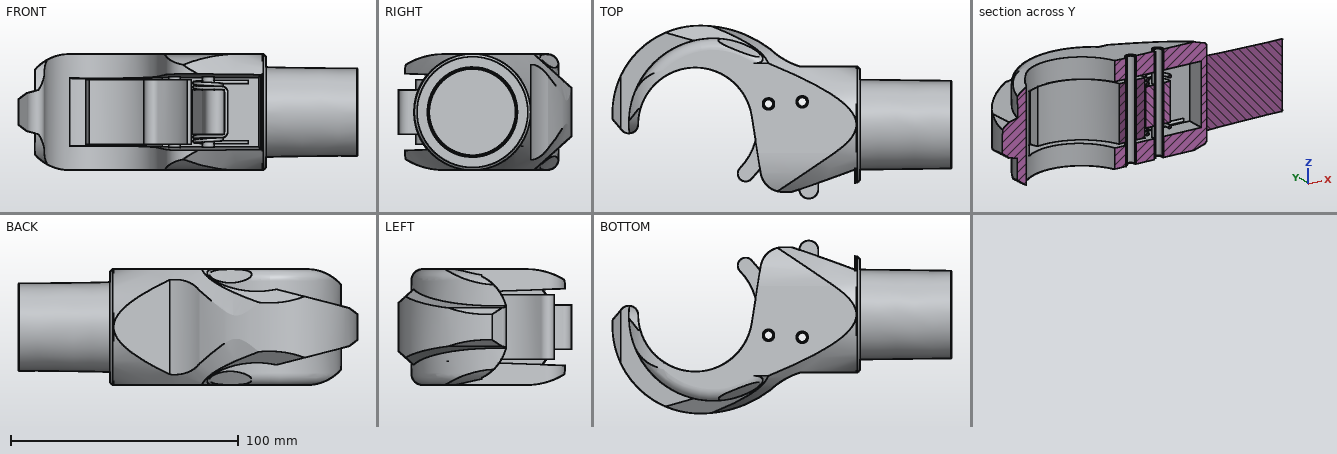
import cadquery as cq
import math


half_width = 25.51
clamp_radius = 25.0
mouth_angle = 8.0
chin_centre = (38.5, -19.6)
chin_radius = 10.0
hook_crown = (2.1, 43.5)
hook_radius = 38.5
hook_tip_angle = 184.0
hook_tip_corner = (-32.6, -2.0)
hook_tip_end = (-29.0, -3.9)
back_radius = 51.0
back_angle = 72.0
shoulder_start = (33.0, 33.1)
shoulder_middle = (39.0, 28.6)
shoulder_end = (46.0, half_width)
cone_start = 70.6
cone_slope = 0.3
housing_end = 72.3
end_chamfer = 1.2
plate_round_start = -12.5
plate_round_radius = 32.0

rib_crown_half = 10.6
rib_chamfer_slope = 0.9
rib_tip_half = 8.4
rib_tip_x = -32.7
rib_flare = 0.256
rib_tip_slope = 0.76

cheek_tip = (-28.6, -6.0)
cheek_flank = (-22.3, 22.2)
cheek_top = (2.0, 37.4)
cheek_neck = (31.0, 29.4)
cheek_shoulder = (37.5, 26.6)
cheek_end = (44.0, half_width)
cheek_fillet = 5.1
tip_round_radius = 20.0
tip_round_x = -14.0
tip_corner_start = (7.0, 22.3)
tip_corner_middle = (0.5, 17.3)
tip_corner_end = (-4.0, 8.0)

slot_left = -13.8
slot_right = 70.0
slot_roof = 17.5
slot_roof_radius = 32.0
slot_roof_angle = 70.0
slot_end_lean = 1.0
slot_half = 15.75
slot_draft = 2.0

spigot_end = 112.46
spigot_root_radius = 19.8
spigot_tip_radius = 19.3
spigot_chamfer = 0.4

jaw_pivot = (32.1, 9.1)
trigger_pivot = (46.9, 10.0)
pin_radius = 2.6
pin_bore_radius = 1.95
pin_length = 50.0

jaw_half = 14.2
jaw_inner_radius = 27.3
jaw_arm_thickness = 4.0
jaw_finger_thickness = 7.0
jaw_end_angle = 101.2
jaw_back_end_angle = 102.5
jaw_back_angle = 68.5
jaw_finger_angle = -44.2
lug_back = 37.6
lug_edge = 39.5
lug_ledge = 3.0
lug_top = 15.0

trigger_half = 9.75
trigger_hub_radius = 6.0
trigger_nose = 39.8
trigger_knee = (44.1, -12.0)
trigger_tip_radius = 4.2
trigger_tip = (49.8, -28.28)

wire_radius = 0.75
coil_radius = 5.95
coil_pitch = 1.85
coil_inner_z = 10.6
coil_leg_angle = 90.0
coil_exit_angle = 240.0
leg_end = 64.4
crossbar_x = 54.8
crossbar_bend = 2.3

LONG = 400.0


def polar(radius, angle, centre=(0.0, 0.0)):
    turn = math.radians(angle)
    return (centre[0] + radius * math.cos(turn), centre[1] + radius * math.sin(turn))


def both_ways(outline, half):
    return outline.extrude(half, both=True)


def disc(centre, radius, half):
    return both_ways(cq.Workplane("XY").center(*centre).circle(radius), half)


def draw_belly(outline):
    """Continue from the housing's upper right corner round the plates to the start of the clamp circle."""
    chin_bottom = chin_centre[1] - chin_radius
    return (
        outline.lineTo(housing_end, chin_bottom)
        .lineTo(chin_centre[0], chin_bottom)
        .threePointArc(polar(chin_radius, 225 - mouth_angle / 2, chin_centre),
                       polar(chin_radius, 180 + mouth_angle, chin_centre))
        .lineTo(*polar(clamp_radius, mouth_angle))
    )


def make_rib_body():
    """The full side outline of hook and housing."""
    hook_centre = (hook_crown[0], hook_crown[1] - hook_radius)
    back_centre = (hook_crown[0], hook_crown[1] - back_radius)
    outline = (
        cq.Workplane("XY")
        .moveTo(-clamp_radius, 0)
        .threePointArc(hook_tip_end, hook_tip_corner)
        .lineTo(*polar(hook_radius, hook_tip_angle, hook_centre))
        .threePointArc(polar(hook_radius, 135, hook_centre), hook_crown)
        .threePointArc(polar(back_radius, back_angle, back_centre), shoulder_start)
        .threePointArc(shoulder_middle, shoulder_end)
        .lineTo(housing_end, half_width)
    )
    outline = draw_belly(outline).threePointArc((0, clamp_radius), (-clamp_radius, 0)).close()
    return both_ways(outline, half_width)


def make_rib_envelope():
    """Chamfers along the crown, and the taper of the rib towards the tip."""
    drop = (half_width - rib_crown_half) / rib_chamfer_slope
    crown = hook_crown[1]
    across = (
        cq.Workplane("YZ")
        .polyline([
            (-LONG, -half_width), (crown - drop, -half_width), (crown, -rib_crown_half),
            (crown, rib_crown_half), (crown - drop, half_width), (-LONG, half_width),
        ])
        .close()
    )
    flare_end = hook_crown[0]
    flare_half = rib_tip_half + rib_flare * (flare_end - rib_tip_x)
    tip_length = rib_tip_half / rib_tip_slope
    upper = [
        (rib_tip_x - tip_length, 0), (rib_tip_x, rib_tip_half), (flare_end, flare_half),
        (flare_end, half_width), (LONG, half_width),
    ]
    lower = [(x, -z) for x, z in reversed(upper[1:])]
    along = cq.Workplane("XZ").polyline(upper + lower).close()
    return both_ways(across, LONG).intersect(both_ways(along, LONG))


def make_cheeks():
    """The side faces of hook and housing, full width, rounded along the hook and at its tip."""
    outline = (
        cq.Workplane("XY")
        .moveTo(*cheek_tip)
        .threePointArc(cheek_flank, cheek_top)
        .tangentArcPoint(cheek_neck, relative=False)
        .threePointArc(cheek_shoulder, cheek_end)
        .lineTo(housing_end, half_width)
    )
    outline = (
        draw_belly(outline)
        .threePointArc((0, clamp_radius), (-clamp_radius, 0))
        .lineTo(-clamp_radius, cheek_tip[1])
        .close()
    )
    cheek = outline.extrude(half_width)
    rims = cheek.faces(">Z").edges("%CIRCLE").vals()
    back_rims = [rim for rim in rims if rim.radius() > clamp_radius + 1]
    cheek = cheek.newObject(back_rims).fillet(cheek_fillet)
    cheeks = cheek.union(cheek.mirror("XY"))
    rounded_tip = (
        cq.Workplane("XY")
        .box(LONG, LONG, 2 * half_width)
        .translate((tip_round_x - tip_round_radius + LONG / 2, 0, 0))
        .edges("|Y and <X")
        .fillet(tip_round_radius)
    )
    tip_corner = (
        cq.Workplane("YZ")
        .moveTo(*tip_corner_start)
        .threePointArc(tip_corner_middle, tip_corner_end)
        .lineTo(-LONG, tip_corner_end[1])
        .lineTo(-LONG, LONG)
        .lineTo(tip_corner_start[0], LONG)
        .close()
        .extrude(-LONG)
    )
    return cheeks.intersect(rounded_tip).cut(tip_corner).cut(tip_corner.mirror("XY"))


def make_plate_envelope():
    """Thins the plates below the spigot axis with a large arc."""
    low = chin_centre[1] - chin_radius

    def arc_z(y):
        sag = math.sqrt(plate_round_radius ** 2 - (y - plate_round_start) ** 2)
        return half_width - plate_round_radius + sag

    middle = (plate_round_start + low) / 2
    outline = (
        cq.Workplane("YZ")
        .moveTo(LONG, half_width)
        .lineTo(plate_round_start, half_width)
        .threePointArc((middle, arc_z(middle)), (low, arc_z(low)))
        .lineTo(low, -arc_z(low))
        .threePointArc((middle, -arc_z(middle)), (plate_round_start, -half_width))
        .lineTo(LONG, -half_width)
        .close()
    )
    return both_ways(outline, LONG)


def make_cone_envelope():
    """Cone about the spigot axis ending in a chamfered cylinder."""
    return (
        cq.Workplane("XY")
        .polyline([
            (-LONG, 0), (-LONG, half_width + cone_slope * (cone_start + LONG)),
            (cone_start, half_width), (housing_end - end_chamfer, half_width),
            (housing_end, half_width - end_chamfer), (housing_end, 0),
        ])
        .close()
        .revolve(360, (0, 0, 0), (1, 0, 0))
    )


def make_slot():
    """Slot for jaw, trigger and spring: side outline limited by drafted side walls."""
    left_top = math.sqrt(slot_roof_radius ** 2 - slot_left ** 2)
    roof_start = math.sqrt(slot_roof_radius ** 2 - slot_roof ** 2)
    outline = (
        cq.Workplane("XY")
        .moveTo(slot_left, 0)
        .lineTo(slot_left, left_top)
        .threePointArc(polar(slot_roof_radius, slot_roof_angle), (roof_start, slot_roof))
        .lineTo(slot_right - slot_end_lean, slot_roof)
        .lineTo(slot_right, -half_width)
        .lineTo(slot_right, -2 * half_width)
        .lineTo(slot_left, -2 * half_width)
        .close()
    )
    reach = 2 * half_width
    change = reach * math.tan(math.radians(slot_draft))
    walls = (
        cq.Workplane("YZ")
        .polyline([
            (-reach, -slot_half - change), (reach, -slot_half + change),
            (reach, slot_half - change), (-reach, slot_half + change),
        ])
        .close()
    )
    return both_ways(outline, half_width).intersect(both_ways(walls, LONG))


def make_housing():
    rib_body = make_rib_body()
    body = rib_body.intersect(make_rib_envelope()).union(make_cheeks().intersect(rib_body))
    body = body.intersect(make_plate_envelope()).intersect(make_cone_envelope())
    body = body.cut(make_slot())
    for pivot in (jaw_pivot, trigger_pivot):
        body = body.cut(disc(pivot, pin_radius, half_width))
    return body


def make_spigot():
    return (
        cq.Workplane("XY")
        .polyline([
            (housing_end, 0), (housing_end, spigot_root_radius),
            (spigot_end - spigot_chamfer, spigot_tip_radius),
            (spigot_end, spigot_tip_radius - spigot_chamfer), (spigot_end, 0),
        ])
        .close()
        .revolve(360, (0, 0, 0), (1, 0, 0))
    )


def make_pin(pivot):
    """Hollow pin across the housing."""
    return both_ways(
        cq.Workplane("XY").center(*pivot).circle(pin_radius).circle(pin_bore_radius), pin_length / 2)


def make_jaw():
    """Curved jaw with a round-ended finger below and a lug round its pivot pin."""
    middle_angle = (jaw_end_angle + jaw_finger_angle) / 2
    arm_radius = jaw_inner_radius + jaw_arm_thickness
    finger_half = jaw_finger_thickness / 2
    finger_end = polar(jaw_inner_radius + finger_half, jaw_finger_angle)
    outline = (
        cq.Workplane("XY")
        .moveTo(*polar(jaw_inner_radius, jaw_end_angle))
        .threePointArc(polar(jaw_inner_radius, middle_angle), polar(jaw_inner_radius, jaw_finger_angle))
        .threePointArc(polar(finger_half, jaw_finger_angle - 90, finger_end),
                       polar(finger_half, jaw_finger_angle, finger_end))
        .tangentArcPoint((lug_back, lug_ledge), relative=False)
        .lineTo(lug_edge, lug_ledge)
        .lineTo(lug_edge, lug_top)
        .lineTo(math.sqrt(arm_radius ** 2 - lug_top ** 2), lug_top)
        .threePointArc(polar(arm_radius, jaw_back_angle), polar(arm_radius, jaw_back_end_angle))
        .close()
    )
    return both_ways(outline, jaw_half).cut(disc(jaw_pivot, pin_radius, jaw_half))


def make_trigger():
    """Lever hanging from its pin, with a flat nose against the jaw and a round tip."""
    tip_x, tip_y = trigger_tip
    pin_x, pin_y = trigger_pivot
    lever = (
        cq.Workplane("XY")
        .moveTo(trigger_nose, pin_y)
        .lineTo(trigger_nose, lug_ledge)
        .lineTo(*trigger_knee)
        .lineTo(tip_x - trigger_tip_radius, tip_y)
        .threePointArc((tip_x, tip_y - trigger_tip_radius), (tip_x + trigger_tip_radius, tip_y))
        .lineTo(pin_x + trigger_hub_radius, pin_y)
        .close()
    )
    trigger = both_ways(lever, trigger_half).union(disc(trigger_pivot, trigger_hub_radius, trigger_half))
    return trigger.cut(disc(trigger_pivot, pin_radius, trigger_half))


def make_rod(start, end):
    """Straight length of wire with a ball at its start, where it joins the next length."""
    axis = cq.Vector(*end) - cq.Vector(*start)
    rod = cq.Solid.makeCylinder(wire_radius, axis.Length, cq.Vector(*start), axis)
    return cq.Workplane("XY").sphere(wire_radius).translate(start).union(cq.Workplane(rod))


def make_spring():
    """Double torsion spring: two coils, two long legs and one crossbar behind the trigger."""
    turns = 1 + (coil_exit_angle - coil_leg_angle) / 360
    leg_z = coil_inner_z + coil_pitch * turns
    leg_start = (*polar(coil_radius, coil_leg_angle, trigger_pivot), leg_z)
    exit_point = cq.Vector(*polar(coil_radius, coil_exit_angle, trigger_pivot), coil_inner_z)

    helix = cq.Wire.makeHelix(coil_pitch, coil_pitch * turns, coil_radius, lefthand=True)
    coil = (
        cq.Workplane("XZ")
        .center(coil_radius, 0)
        .circle(wire_radius)
        .sweep(cq.Workplane(helix), isFrenet=True)
        .rotate((0, 0, 0), (0, 0, 1), coil_exit_angle)
        .translate((*trigger_pivot, coil_inner_z))
    )
    leg = make_rod(leg_start, (leg_end, leg_start[1], leg_z))

    heading = cq.Vector(*polar(1.0, coil_exit_angle + 90))
    arm_length = (crossbar_x - exit_point.x) / heading.x
    bend_start = exit_point + heading * (arm_length - crossbar_bend)
    arm = make_rod(exit_point.toTuple(), bend_start.toTuple())
    bend = (
        cq.Workplane(cq.Plane(bend_start, cq.Vector(0, 0, 1), heading))
        .circle(wire_radius)
        .revolve(90, (-crossbar_bend, 1, 0), (-crossbar_bend, -1, 0))
    )
    bar_start = bend_start + heading * crossbar_bend - cq.Vector(0, 0, crossbar_bend)
    bar = make_rod(bar_start.toTuple(), (bar_start.x, bar_start.y, 0))

    half_spring = coil.union(leg).union(arm).union(bend).union(bar)
    return half_spring.union(half_spring.mirror("XY"))


housing = make_housing()
spigot = make_spigot()
jaw = make_jaw()
trigger = make_trigger()
spring = make_spring()
pins = [make_pin(pivot) for pivot in (jaw_pivot, trigger_pivot)]
result = cq.Compound.makeCompound([
    housing.val(), spigot.val(), jaw.val(), trigger.val(), spring.val(),
    *[pin.val() for pin in pins],
])